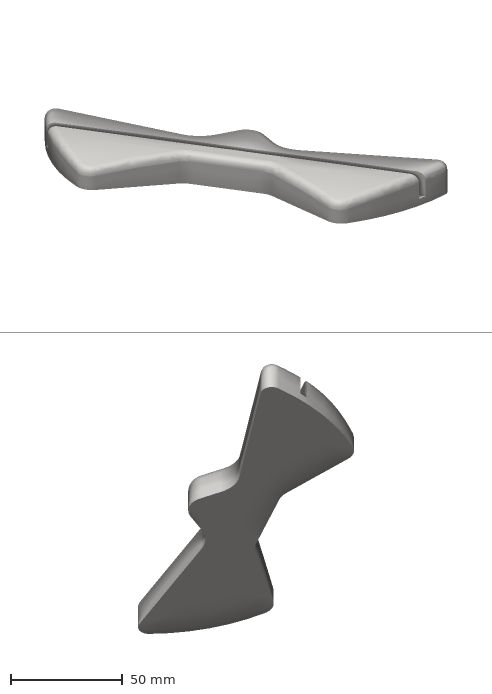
import cadquery as cq
import math

height = 15.0

nose_apex_y = 29.7
valley_x = 20.2
wing_rear_angle = 9.0
end_arc_radius = 100.0
end_arc_center_y = 45.9
front_edge_y = -11.5
front_edge_half = 20.0
wing_front_angle = 30.0

nose_radius = 10.0
valley_radius = 15.0
rear_tip_radius = 5.0
front_tip_radius = 8.0
front_edge_radius = 10.0

rim_radius = 4.0
slope_radius = 89.5

slot_width = 3.6
slot_floor_z = 3.5
hump_half_length = 23.2
hump_top_z = 13.7

slope_start_y = -slot_width / 2


def end_circle_hit(start, angle):
    """Point where a ray from start, at angle degrees to X, meets the wing end circle."""
    dx = math.cos(math.radians(angle))
    dy = math.sin(math.radians(angle))
    offset_y = start[1] - end_arc_center_y
    along = start[0] * dx + offset_y * dy
    gap = start[0] ** 2 + offset_y**2 - end_arc_radius**2
    reach = -along + math.sqrt(along**2 - gap)
    return (start[0] + reach * dx, start[1] + reach * dy)


def mirrored(point):
    return (-point[0], point[1])


nose = (0, nose_apex_y)
valley = (valley_x, nose_apex_y - valley_x)
rear_tip = end_circle_hit(valley, wing_rear_angle)
front_corner = (front_edge_half, front_edge_y)
front_tip = end_circle_hit(front_corner, -wing_front_angle)

tip_direction = math.atan2(
    (rear_tip[1] + front_tip[1]) / 2 - end_arc_center_y,
    (rear_tip[0] + front_tip[0]) / 2,
)
end_middle = (
    end_arc_radius * math.cos(tip_direction),
    end_arc_center_y + end_arc_radius * math.sin(tip_direction),
)


def make_plate():
    """Plate with the bow-tie outline and rounded vertical corners."""
    plate = (
        cq.Workplane("XY")
        .moveTo(*nose)
        .lineTo(*valley)
        .lineTo(*rear_tip)
        .threePointArc(end_middle, front_tip)
        .lineTo(*front_corner)
        .lineTo(*mirrored(front_corner))
        .lineTo(*mirrored(front_tip))
        .threePointArc(mirrored(end_middle), mirrored(rear_tip))
        .lineTo(*mirrored(valley))
        .close()
        .extrude(height)
    )
    half_corners = [
        (valley, valley_radius),
        (rear_tip, rear_tip_radius),
        (front_tip, front_tip_radius),
        (front_corner, front_edge_radius),
    ]
    corner_radii = [(nose, nose_radius)] + half_corners
    corner_radii += [(mirrored(corner), radius) for corner, radius in half_corners]
    for corner, radius in corner_radii:
        edge_middle = (corner[0], corner[1], height / 2)
        plate = plate.edges("|Z").edges(cq.NearestToPointSelector(edge_middle)).fillet(radius)
    return plate


def make_top_limit():
    """Long bar whose upper side is flat at the rear and curves down to the front."""
    front_y = front_tip[1]
    rear_y = nose_apex_y

    def slope_z(y):
        return height - slope_radius + math.sqrt(slope_radius**2 - (y - slope_start_y) ** 2)

    middle_y = (slope_start_y + front_y) / 2
    return (
        cq.Workplane("YZ")
        .moveTo(rear_y, 0)
        .lineTo(rear_y, height)
        .lineTo(slope_start_y, height)
        .threePointArc((middle_y, slope_z(middle_y)), (front_y, slope_z(front_y)))
        .lineTo(front_y, 0)
        .close()
        .extrude(end_arc_radius, both=True)
    )


def make_slot():
    """Straight slot through both wing ends, leaving an arched hump mid-length."""
    return (
        cq.Workplane("XZ")
        .moveTo(-end_arc_radius, slot_floor_z)
        .lineTo(-hump_half_length, slot_floor_z)
        .threePointArc((0, hump_top_z), (hump_half_length, slot_floor_z))
        .lineTo(end_arc_radius, slot_floor_z)
        .lineTo(end_arc_radius, height)
        .lineTo(-end_arc_radius, height)
        .close()
        .extrude(slot_width / 2, both=True)
    )


body = make_plate().intersect(make_top_limit())
body = body.faces(">Z").edges(">Y").fillet(rim_radius)
result = body.cut(make_slot())